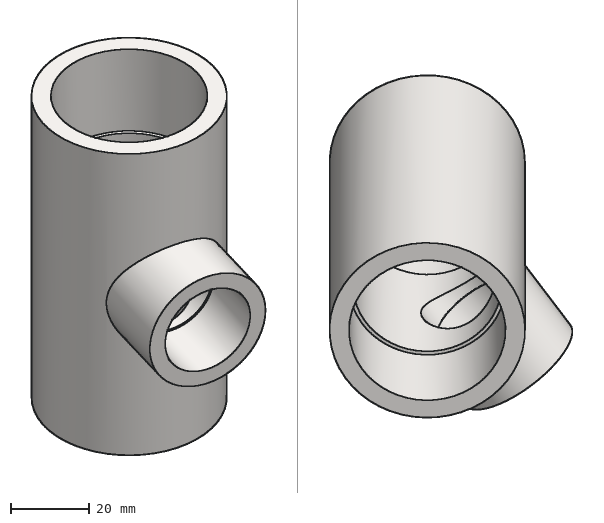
import cadquery as cq

run_length = 96.0
run_diameter = 50.0
run_bore_diameter = 38.0
run_socket_diameter = 40.0
run_socket_depth = 26.0

overall_width = 66.0
branch_diameter = 34.0
branch_bore_diameter = 24.0
branch_socket_diameter = 25.0
branch_socket_depth = 19.0
branch_reach = overall_width - run_diameter / 2


def run_cylinder(diameter, bottom, height):
    """Cylinder along Z on the main axis."""
    return cq.Workplane("XY", origin=(0, 0, bottom)).circle(diameter / 2).extrude(height)


def branch_cylinder(diameter, start, length):
    """Cylinder along +X on the branch axis."""
    return cq.Workplane("YZ", origin=(start, 0, 0)).circle(diameter / 2).extrude(length)


run_bottom = -run_length / 2
body = run_cylinder(run_diameter, run_bottom, run_length)
body = body.union(branch_cylinder(branch_diameter, 0, branch_reach))

body = body.cut(run_cylinder(run_bore_diameter, run_bottom, run_length))
for socket_bottom in (run_bottom, run_length / 2 - run_socket_depth):
    body = body.cut(run_cylinder(run_socket_diameter, socket_bottom, run_socket_depth))

body = body.cut(branch_cylinder(branch_bore_diameter, 0, branch_reach))
branch_socket_start = branch_reach - branch_socket_depth
body = body.cut(branch_cylinder(branch_socket_diameter, branch_socket_start, branch_socket_depth))

result = body